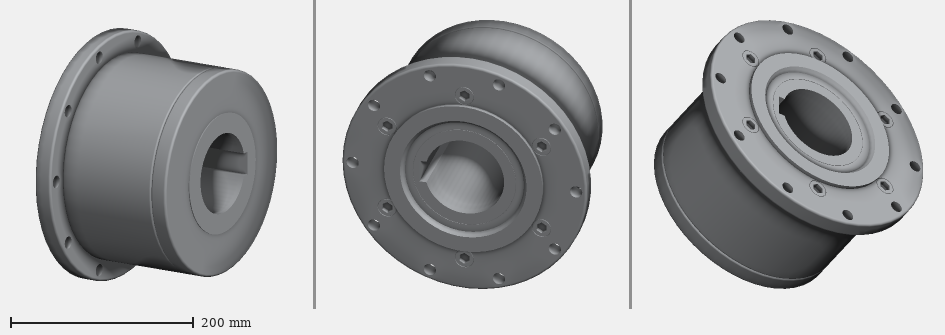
import cadquery as cq
import math

TOTAL_LENGTH = 160.0
PILOT_LENGTH = 4.7
FLANGE_THICKNESS = 20.3
END_BOSS_LENGTH = 1.0
END_RING_WIDTH = 19.0

x_pilot = -TOTAL_LENGTH / 2
x_flange = x_pilot + PILOT_LENGTH
x_body = x_flange + FLANGE_THICKNESS
x_end = TOTAL_LENGTH / 2
x_end_boss = x_end - END_BOSS_LENGTH
x_joint = x_end_boss - END_RING_WIDTH

FLANGE_DIAMETER = 278
BODY_DIAMETER = 230.0
PILOT_DIAMETER = 180.0
HUB_DIAMETER = 135.0
BORE_DIAMETER = 90.0

OUTER_EDGE_RADIUS = 2.8
JOINT_EDGE_RADIUS = 2.2

RECESS_MOUTH_DIAMETER = 143.7
RECESS_DEPTH = 5.0
SEAL_GROOVE_DIAMETER = 117.5
SEAL_GROOVE_WIDTH = 0.5
SEAL_GROOVE_DEPTH = 0.5

KEYWAY_WIDTH = 25.5
KEYWAY_REACH = 51.0

MOUNTING_HOLE_COUNT = 10
MOUNTING_HOLE_DIAMETER = 14
MOUNTING_CIRCLE_DIAMETER = 253.8

SCREW_COUNT = 6
SCREW_CIRCLE_DIAMETER = 202.5
SCREW_FIRST_ANGLE = 90
SCREW_SEAT_DIAMETER = 22.0
SCREW_HEAD_DIAMETER = 20.5
SCREW_GAP_DEPTH = 1.0
SOCKET_SIDES = 6
SOCKET_ACROSS_FLATS = 11.7
SOCKET_DEPTH = 5.8


def cylinder(x_start, x_stop, diameter):
    """Solid cylinder on the X axis between two positions."""
    return cq.Workplane("YZ", origin=(x_start, 0, 0)).circle(diameter / 2).extrude(x_stop - x_start)


def ring(x_start, depth, outer_diameter, inner_diameter):
    """Ring around the X axis, starting at one position."""
    face = cq.Workplane("YZ", origin=(x_start, 0, 0))
    return face.circle(outer_diameter / 2).circle(inner_diameter / 2).extrude(depth)


def circle_of_points(count, diameter, first_angle=0):
    """(Y, Z) points spaced evenly on a circle around the X axis."""
    angles = [math.radians(first_angle + 360 * i / count) for i in range(count)]
    return [(diameter / 2 * math.cos(a), diameter / 2 * math.sin(a)) for a in angles]


def outer_shell():
    """Pilot, flange, body, end ring and end boss joined along the axis."""
    pilot = cylinder(x_pilot, x_flange, PILOT_DIAMETER)
    flange = cylinder(x_flange, x_body, FLANGE_DIAMETER).edges().fillet(OUTER_EDGE_RADIUS)
    body = cylinder(x_body, x_joint, BODY_DIAMETER).edges().fillet(JOINT_EDGE_RADIUS)
    end_ring = cylinder(x_joint, x_end_boss, BODY_DIAMETER)
    end_ring = end_ring.faces("<X").edges().fillet(JOINT_EDGE_RADIUS)
    end_ring = end_ring.faces(">X").edges().fillet(OUTER_EDGE_RADIUS)
    end_boss = cylinder(x_end_boss, x_end, HUB_DIAMETER)
    return pilot.union(flange).union(body).union(end_ring).union(end_boss)


def recess():
    """Tapered recess narrowing to the hub diameter, plus the groove in its floor."""
    cone = (
        cq.Workplane("YZ", origin=(x_pilot, 0, 0))
        .circle(RECESS_MOUTH_DIAMETER / 2)
        .workplane(offset=RECESS_DEPTH)
        .circle(HUB_DIAMETER / 2)
        .loft()
    )
    groove_inner_diameter = SEAL_GROOVE_DIAMETER - 2 * SEAL_GROOVE_WIDTH
    x_floor = x_pilot + RECESS_DEPTH
    return cone.union(ring(x_floor, SEAL_GROOVE_DEPTH, SEAL_GROOVE_DIAMETER, groove_inner_diameter))


def keyed_bore():
    """Through bore with a rectangular keyway."""
    bore = cylinder(x_pilot, x_end, BORE_DIAMETER)
    keyway = cq.Workplane("XY").box(TOTAL_LENGTH, KEYWAY_REACH, KEYWAY_WIDTH, centered=(True, False, True))
    return bore.union(keyway)


def mounting_holes():
    """Plain holes through the flange rim."""
    points = circle_of_points(MOUNTING_HOLE_COUNT, MOUNTING_CIRCLE_DIAMETER)
    face = cq.Workplane("YZ", origin=(x_flange, 0, 0))
    return face.pushPoints(points).circle(MOUNTING_HOLE_DIAMETER / 2).extrude(FLANGE_THICKNESS)


def screw_recesses():
    """Clearance gap around each screw head and the hexagon socket in it."""
    points = circle_of_points(SCREW_COUNT, SCREW_CIRCLE_DIAMETER, SCREW_FIRST_ANGLE)
    socket_across_corners = SOCKET_ACROSS_FLATS / math.cos(math.pi / SOCKET_SIDES)
    gap = ring(x_flange, SCREW_GAP_DEPTH, SCREW_SEAT_DIAMETER, SCREW_HEAD_DIAMETER)
    socket = (
        cq.Workplane("YZ", origin=(x_flange, 0, 0))
        .polygon(SOCKET_SIDES, socket_across_corners)
        .extrude(SOCKET_DEPTH)
        .rotate((0, 0, 0), (1, 0, 0), 180 / SOCKET_SIDES)
    )
    screw = gap.union(socket)
    tools = cq.Workplane("YZ")
    for y, z in points:
        tools = tools.add(screw.translate((0, y, z)))
    return tools.combine()


result = outer_shell()
for cutter in (recess(), keyed_bore(), mounting_holes(), screw_recesses()):
    result = result.cut(cutter)